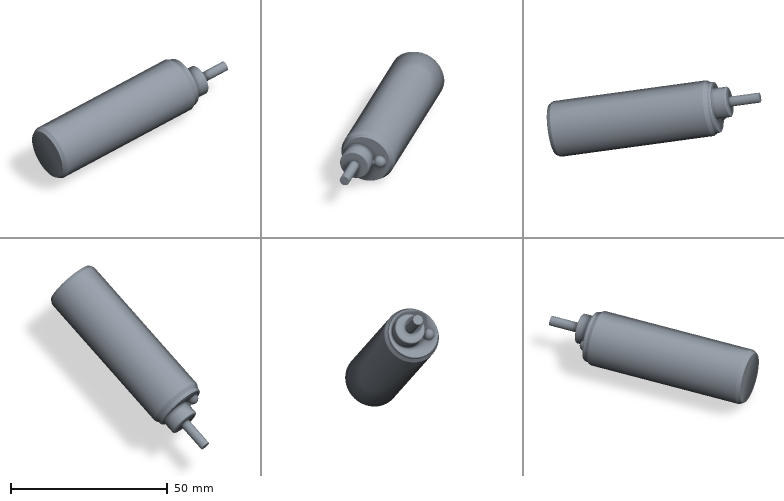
import cadquery as cq
import math

total_length = 69.1
cable_length = 10.0
collar_height = 4.8

body_diameter = 18.0
end_diameter = 16.5
taper_angle = 30.0
rim_length = 1.1
rim_chamfer_length = 0.5
rim_chamfer_depth = 0.2

cable_x = 2.3
cable_diameter = 3.2
collar_diameter = 9.8
collar_edge_radius = 0.5

dome_x = -4.8
dome_radius = 1.9
dome_height = 2.0

web_width = 0.8
web_height_at_dome = 1.1
web_height_at_collar = 1.7

foot_radius = 0.35

end_face_y = total_length - cable_length - collar_height
body_radius = body_diameter / 2
end_radius = end_diameter / 2
taper_length = (body_radius - end_radius) / math.tan(math.radians(taper_angle))


def revolve_about_y(profile, axis_x):
    """Close an (X, Y) half profile and turn it about the line X = axis_x."""
    return profile.close().revolve(360, (axis_x, 0, 0), (axis_x, 1, 0))


def make_body():
    """Cylinder tapered at both ends, with a chamfered rim at the rear."""
    rim_y = end_face_y - rim_length
    profile = (
        cq.Workplane("XY")
        .lineTo(end_radius, 0)
        .lineTo(body_radius, taper_length)
        .lineTo(body_radius, rim_y - taper_length)
        .lineTo(end_radius, rim_y)
        .lineTo(end_radius, end_face_y - rim_chamfer_length)
        .lineTo(end_radius - rim_chamfer_depth, end_face_y)
        .lineTo(0, end_face_y)
    )
    return revolve_about_y(profile, 0)


def make_collar():
    """Round collar with a rounded top edge and a concave fillet at its foot."""
    radius = collar_diameter / 2
    top_y = end_face_y + collar_height
    profile = (
        cq.Workplane("XY")
        .moveTo(cable_x, end_face_y)
        .lineTo(cable_x + radius + foot_radius, end_face_y)
        .radiusArc((cable_x + radius, end_face_y + foot_radius), foot_radius)
        .lineTo(cable_x + radius, top_y - collar_edge_radius)
        .radiusArc((cable_x + radius - collar_edge_radius, top_y), -collar_edge_radius)
        .lineTo(cable_x, top_y)
    )
    return revolve_about_y(profile, cable_x)


def make_cable():
    """Straight cable stub running from the end face through the collar."""
    return (
        cq.Workplane("XZ", origin=(cable_x, end_face_y, 0))
        .circle(cable_diameter / 2)
        .extrude(-(collar_height + cable_length))
    )


def make_dome():
    """Spherical cap indicator with a concave fillet at its foot."""
    shoulder_y = end_face_y + foot_radius
    cap_height = dome_height - foot_radius
    sphere_radius = (dome_radius**2 + cap_height**2) / (2 * cap_height)
    profile = (
        cq.Workplane("XY")
        .moveTo(dome_x, end_face_y)
        .lineTo(dome_x + dome_radius + foot_radius, end_face_y)
        .radiusArc((dome_x + dome_radius, shoulder_y), foot_radius)
        .radiusArc((dome_x, end_face_y + dome_height), -sphere_radius)
    )
    return revolve_about_y(profile, dome_x)


def make_web():
    """Thin web with a sloping top, bridging the gap from the dome to the collar."""
    inside_dome_x = dome_x + dome_radius / 2
    inside_collar_x = cable_x - collar_diameter / 2 + foot_radius
    return (
        cq.Workplane("XY")
        .moveTo(inside_dome_x, end_face_y)
        .lineTo(inside_collar_x, end_face_y)
        .lineTo(inside_collar_x, end_face_y + web_height_at_collar)
        .lineTo(inside_dome_x, end_face_y + web_height_at_dome)
        .close()
        .extrude(web_width / 2, both=True)
    )


result = make_body()
for fitting in (make_collar(), make_cable(), make_dome(), make_web()):
    result = result.union(fitting)